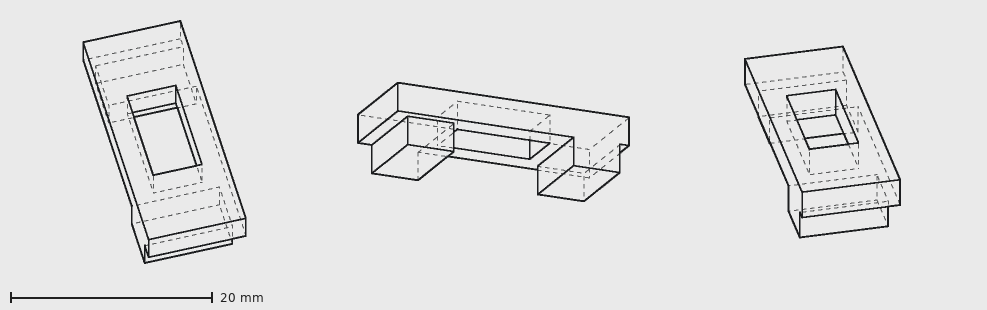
import cadquery as cq

plate_length = 25.0
plate_width = 10.0
plate_thickness = 3.0

window_length = 10.0
window_width = 5.0

foot_length = 5.0
foot_width = 9.0
foot_height = 3.0
left_foot_end_inset = 1.0
right_foot_end_inset = 1.5

left_foot_x = left_foot_end_inset
right_foot_x = plate_length - right_foot_end_inset - foot_length
left_foot_y = plate_width - foot_width
right_foot_y = 0.0


def make_plate():
    """Rectangular plate resting on top of the feet."""
    plate = cq.Workplane("XY").box(plate_length, plate_width, plate_thickness, centered=False)
    return plate.translate((0, 0, foot_height))


def make_window():
    """Cutter for the rectangular opening through the plate."""
    window = cq.Workplane("XY").box(
        window_length, window_width, plate_thickness, centered=(True, True, False)
    )
    return window.translate((plate_length / 2, plate_width / 2, foot_height))


def make_foot(x, y):
    """Rectangular foot with its lowest X and Y corner at (x, y)."""
    foot = cq.Workplane("XY").box(foot_length, foot_width, foot_height, centered=False)
    return foot.translate((x, y, 0))


result = (
    make_plate()
    .cut(make_window())
    .union(make_foot(left_foot_x, left_foot_y))
    .union(make_foot(right_foot_x, right_foot_y))
)